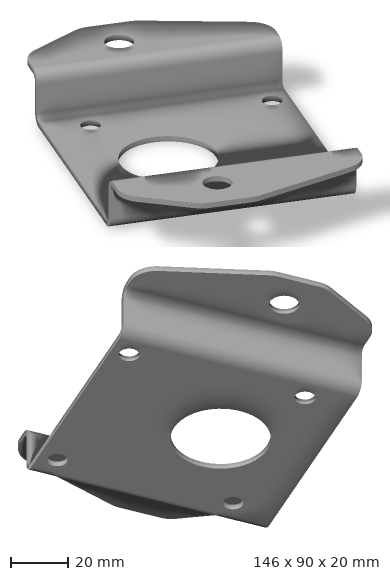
import cadquery as cq

length = 146.0
width = 90.0
height = 20.0
thickness = 2.0
channel_width = 90.0
inner_bend_radius = 2.3
outer_bend_radius = inner_bend_radius + thickness

end_edge_top = 0.0
end_edge_bottom = -20.0
corner_inset = 15.0
corner_radius = 10.0

center_y = (end_edge_top + end_edge_bottom) / 2
bore_diameter = 35.0
flange_hole_diameter = 10.5
flange_hole_spacing = 117.2
floor_hole_diameter = 7.3
floor_hole_spacing = 66.5
floor_pattern_y = 5.0


def bent_sheet():
    """Hat-shaped section swept across the width, resting on Z = 0."""
    end = length / 2
    outer = channel_width / 2
    inner = outer - thickness
    underside = height - thickness
    section = (
        cq.Workplane("XZ")
        .moveTo(-end, height)
        .lineTo(-inner, height)
        .lineTo(-inner, thickness)
        .lineTo(inner, thickness)
        .lineTo(inner, height)
        .lineTo(end, height)
        .lineTo(end, underside)
        .lineTo(outer, underside)
        .lineTo(outer, 0)
        .lineTo(-outer, 0)
        .lineTo(-outer, underside)
        .lineTo(-end, underside)
        .close()
    )
    sheet = section.extrude(width / 2, both=True)

    def round_bends(body, x, z, radius):
        for side in (-1, 1):
            edge = cq.selectors.NearestToPointSelector((side * x, 0, z))
            body = body.edges("|Y").edges(edge).fillet(radius)
        return body

    sheet = round_bends(sheet, inner, height, outer_bend_radius)
    sheet = round_bends(sheet, outer, underside, inner_bend_radius)
    sheet = round_bends(sheet, inner, thickness, inner_bend_radius)
    return round_bends(sheet, outer, 0, outer_bend_radius)


def plan_outline():
    """Eight-sided plan shape with every corner rounded."""
    end = length / 2
    side = width / 2
    shoulder = end - corner_inset
    corners = [
        (-shoulder, side),
        (shoulder, side),
        (end, end_edge_top),
        (end, end_edge_bottom),
        (shoulder, -side),
        (-shoulder, -side),
        (-end, end_edge_bottom),
        (-end, end_edge_top),
    ]
    blank = cq.Workplane("XY").polyline(corners).close().extrude(height)
    return blank.edges("|Z").fillet(corner_radius)


def drill(points, diameter):
    """Cylinders through the full height at the given places."""
    return cq.Workplane("XY").pushPoints(points).circle(diameter / 2).extrude(height)


flange_holes = [(side * flange_hole_spacing / 2, center_y) for side in (-1, 1)]
floor_holes = [
    (x_side * floor_hole_spacing / 2, floor_pattern_y + y_side * floor_hole_spacing / 2)
    for x_side in (-1, 1)
    for y_side in (-1, 1)
]

result = (
    bent_sheet()
    .intersect(plan_outline())
    .cut(drill([(0, center_y)], bore_diameter))
    .cut(drill(flange_holes, flange_hole_diameter))
    .cut(drill(floor_holes, floor_hole_diameter))
)